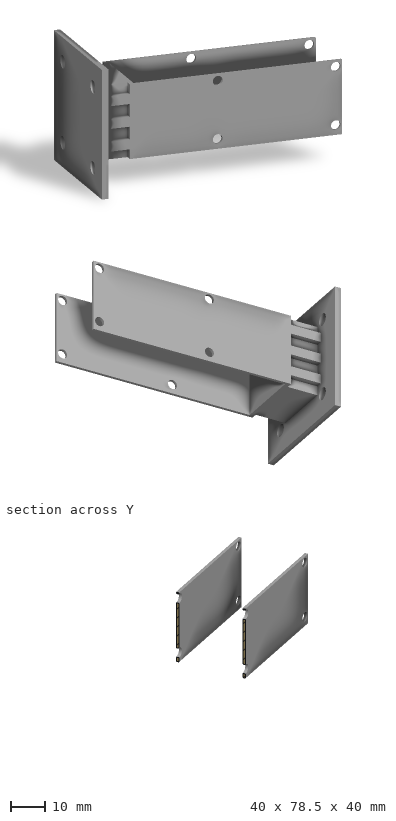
import cadquery as cq

plate_size = 40.0
plate_thickness = 2.0
plate_hole_diameter = 4.0
plate_hole_spacing = 25.0

total_length = 78.5
fork_size = 23.0
root_length = 11.5
arm_thickness = 1.0
arm_gap = fork_size - 2 * arm_thickness
fork_length = total_length - plate_thickness
arm_length = fork_length - root_length

notch_length = 10.0
notch_depth = 2.0
notch_width = 4.0
notch_pitch = 7.0
notch_count = 4

arm_hole_diameter = 3.0
arm_hole_end_distance = 2.0
arm_hole_spacing_y = 37.0
arm_hole_spacing_z = 18.0
arm_hole_rise = 0.5


def box_along_y(size_x, size_y, size_z, start_y):
    """Box centred on X and Z that runs toward +Y from start_y."""
    return cq.Workplane("XY").box(size_x, size_y, size_z, centered=(True, False, True)).translate(
        (0, start_y, 0)
    )


def make_plate():
    plate = box_along_y(plate_size, plate_thickness, plate_size, 0)
    holes = (
        cq.Workplane("XZ")
        .rarray(plate_hole_spacing, plate_hole_spacing, 2, 2)
        .circle(plate_hole_diameter / 2)
        .extrude(-plate_thickness)
    )
    return plate.cut(holes)


def make_fork():
    body = box_along_y(fork_size, fork_length, fork_size, plate_thickness)
    gap = box_along_y(arm_gap, arm_length, fork_size, plate_thickness + root_length)
    return body.cut(gap)


def make_notches():
    """Evenly spaced notches on both sides; the outer ones break out at top and bottom."""
    notches = cq.Workplane("XY")
    side_x = fork_size / 2
    lowest_z = -notch_pitch * (notch_count - 1) / 2
    notch = box_along_y(2 * notch_depth, notch_length, notch_width, plate_thickness)
    for x in (-side_x, side_x):
        for index in range(notch_count):
            notches = notches.add(notch.translate((x, 0, lowest_z + index * notch_pitch)))
    return notches.combine()


def make_arm_holes():
    center_y = total_length - arm_hole_end_distance - arm_hole_spacing_y / 2
    return (
        cq.Workplane("YZ")
        .center(center_y, arm_hole_rise)
        .rarray(arm_hole_spacing_y, arm_hole_spacing_z, 2, 2)
        .circle(arm_hole_diameter / 2)
        .extrude(fork_size / 2, both=True)
    )


fork = make_fork().cut(make_notches()).cut(make_arm_holes())
result = make_plate().union(fork)